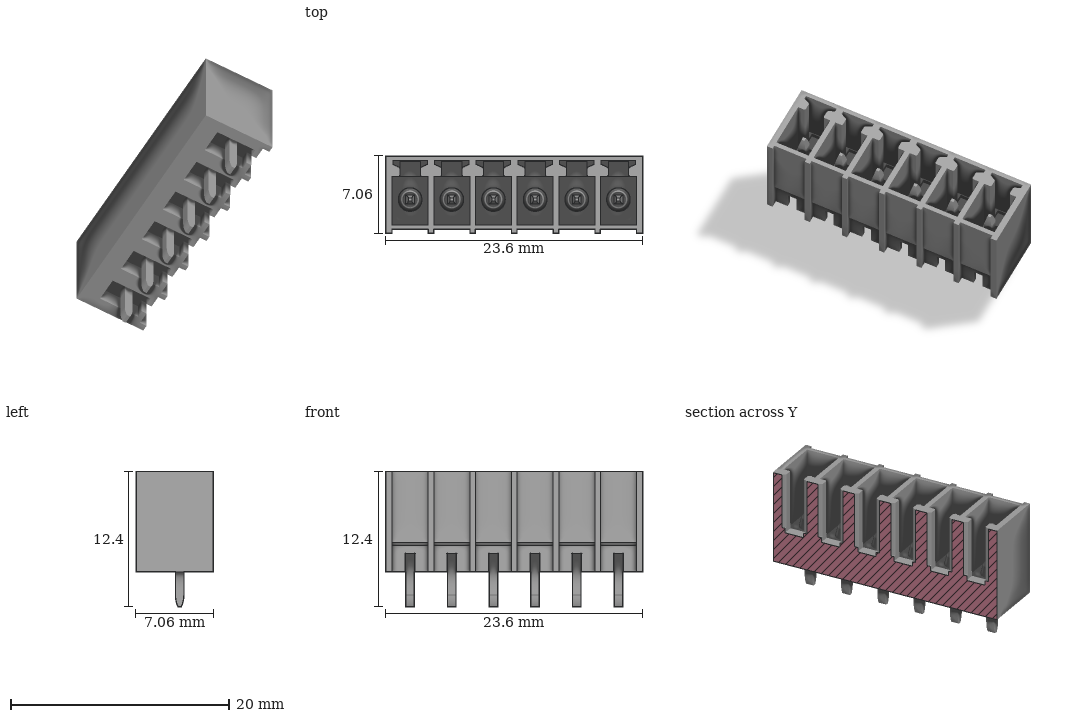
import cadquery as cq
import math


length = 23.55
depth = 7.06
height = 9.2
cell_count = 6
pitch = 3.82
cell_width = 3.3
first_cell_x = (length - (cell_count - 1) * pitch) / 2
cell_centers = [first_cell_x + i * pitch for i in range(cell_count)]

cavity_front_y = 0.78
cavity_back_y = depth - 1.85
floor_z = 2.83

neck_width = 1.85
neck_back_y = depth - 0.5
neck_floor_z = 3.3
dovetail_width = 3.15
dovetail_back_y = depth - 0.42
dovetail_side_y = depth - 0.75
dovetail_tip_y = depth - 1.01
dovetail_floor_z = 3.77
neck_chamfer = 0.1

panel_y = 0.35
skirt_y = 0.68
step_bottom_z = 2.43
step_top_z = 2.7

skirt_thickness = 0.52
hollow_width = 2.3
hollow_height = 1.7
notch_width = 0.9

collar_base_radius = 1.08
collar_top_radius = 0.87
collar_height = 1.05
collar_round = 0.21

pin_y = 3.09
pin_size = 0.8
pin_bottom_z = -3.2
pin_top_z = 7.9
tip_length = 1.08
tip_flat = 0.3


def block(center_x, width, y_range, z_range):
    """Box centred on center_x, spanning the given Y and Z ranges."""
    y_min, y_max = y_range
    z_min, z_max = z_range
    return (
        cq.Workplane("XY")
        .box(width, y_max - y_min, z_max - z_min, centered=(True, False, False))
        .translate((center_x, y_min, z_min))
    )


def plug_cavity(x):
    return block(x, cell_width, (cavity_front_y, cavity_back_y), (floor_z, height))


def coding_slot(x):
    """Dovetail and neck above the dovetail floor, plus the deeper well under the neck."""
    half_neck = neck_width / 2
    half_dovetail = dovetail_width / 2
    right_side = [
        (half_neck + neck_chamfer, cavity_back_y),
        (half_neck, cavity_back_y + neck_chamfer),
        (half_neck, dovetail_tip_y - neck_chamfer),
        (half_neck + neck_chamfer, dovetail_tip_y),
        (half_dovetail, dovetail_side_y),
        (half_dovetail, dovetail_back_y),
    ]
    left_side = [(-px, py) for px, py in reversed(right_side)]
    slot = (
        cq.Workplane("XY", origin=(x, 0, dovetail_floor_z))
        .polyline(right_side + left_side)
        .close()
        .extrude(height - dovetail_floor_z)
    )
    well = block(x, neck_width, (cavity_back_y, neck_back_y), (neck_floor_z, dovetail_floor_z))
    return slot.union(well)


def front_recess(x):
    """Space in front of the panel, with a sloped step down to the deeper skirt face."""
    return (
        cq.Workplane("YZ", origin=(x - cell_width / 2, 0, 0))
        .polyline([
            (0, 0),
            (skirt_y, 0),
            (skirt_y, step_bottom_z),
            (panel_y, step_top_z),
            (panel_y, height),
            (0, height),
        ])
        .close()
        .extrude(cell_width)
    )


def underside_hollow(x):
    """Pocket under the floor and the notch through the skirt in front of it."""
    hollow_front_y = skirt_y + skirt_thickness
    hollow = block(x, hollow_width, (hollow_front_y, cavity_back_y), (0, hollow_height))
    notch = block(x, notch_width, (skirt_y, hollow_front_y), (0, hollow_height))
    return hollow.union(notch)


def collar(x):
    """Tapered collar with a rounded top rim."""
    return (
        cq.Workplane("XZ", origin=(x, pin_y, floor_z))
        .lineTo(collar_base_radius, 0)
        .lineTo(collar_top_radius, collar_height - collar_round)
        .radiusArc((collar_top_radius - collar_round, collar_height), -collar_round)
        .lineTo(0, collar_height)
        .close()
        .revolve(360, (0, 0, 0), (0, 1, 0))
    )


def pin_hole(x):
    half = pin_size / 2
    return block(x, pin_size, (pin_y - half, pin_y + half), (hollow_height, floor_z + collar_height))


def make_housing():
    body = block(length / 2, length, (0, depth), (0, height))
    for x in cell_centers:
        body = body.cut(plug_cavity(x)).cut(coding_slot(x))
        body = body.cut(front_recess(x)).cut(underside_hollow(x))
        body = body.union(collar(x)).cut(pin_hole(x))
    return body


def make_pin(x):
    """Square pin, curved front and back at both tips and also tapered sideways at the upper tip."""
    half = pin_size / 2
    half_flat = tip_flat / 2
    lower_z = pin_bottom_z + tip_length
    upper_z = pin_top_z - tip_length
    inset = half - half_flat
    tip_radius = (tip_length ** 2 + inset ** 2) / (2 * inset)
    half_angle = math.asin(tip_length / tip_radius) / 2
    mid_rise = tip_radius * math.sin(half_angle)
    mid_half = half - tip_radius * (1 - math.cos(half_angle))
    side_profile = (
        cq.Workplane("YZ", origin=(x - half, pin_y, 0))
        .moveTo(half, lower_z)
        .lineTo(half, upper_z)
        .threePointArc((mid_half, upper_z + mid_rise), (half_flat, pin_top_z))
        .lineTo(-half_flat, pin_top_z)
        .threePointArc((-mid_half, upper_z + mid_rise), (-half, upper_z))
        .lineTo(-half, lower_z)
        .threePointArc((-mid_half, lower_z - mid_rise), (-half_flat, pin_bottom_z))
        .lineTo(half_flat, pin_bottom_z)
        .threePointArc((mid_half, lower_z - mid_rise), (half, lower_z))
        .close()
        .extrude(pin_size)
    )
    front_profile = (
        cq.Workplane("XZ", origin=(x, pin_y + half, 0))
        .polyline([
            (-half, pin_bottom_z),
            (half, pin_bottom_z),
            (half, upper_z),
            (half_flat, pin_top_z),
            (-half_flat, pin_top_z),
            (-half, upper_z),
        ])
        .close()
        .extrude(pin_size)
    )
    return side_profile.intersect(front_profile)


housing = make_housing()
pins = [make_pin(x) for x in cell_centers]

result = cq.Compound.makeCompound([housing.val(), *[pin.val() for pin in pins]])